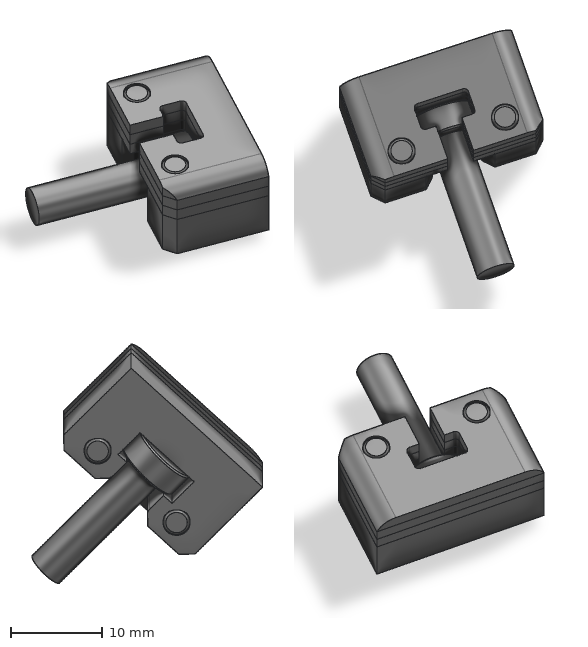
import cadquery as cq
import math

width = 20.0
depth = 12.0
base_height = 5.25
plate_height = 1.46
plate_count = 2
corner_chamfer = 1.25
cover_base = base_height + plate_count * plate_height
block_top = cover_base + plate_height
crown_radius = 2.5

neck_width = 3.0
tee_width = 6.26
tee_corner_radius = 0.5
tee_back = 4.97
tee_front = 8.05

total_length = 24.0
head_radius = 3.86
head_chamfer = 0.2
head_back = 5.0
head_thickness = 3.0
shaft_radius = 2.14
stud_height = 2.62

slot_width = 5.6
mouth_chamfer = 1.2
mouth_fillet = 0.82
pocket_clearance = 0.25

dowel_radius = 1.5
dowel_chamfer = 0.3
dowel_spacing = 12.0
dowel_setback = 9.5
dowel_places = [(side * dowel_spacing / 2, -dowel_setback) for side in (-1, 1)]


def slab(height):
    """Block with its back face at Y = 0, chamfered front corners and dowel holes."""
    body = cq.Workplane("XY").box(width, depth, height, centered=(True, False, False))
    body = body.translate((0, -depth, 0)).faces("<Y").edges("|Z").chamfer(corner_chamfer)
    holes = cq.Workplane("XY").pushPoints(dowel_places).circle(dowel_radius).extrude(height)
    return body.cut(holes)


def upright_cut(cut_width, back, front, height):
    """Rectangular cutter, centred in X, between two distances from the back face."""
    cutter = cq.Workplane("XY").box(cut_width, front - back, height, centered=(True, False, False))
    return cutter.translate((0, -front, 0))


def make_plate():
    tee = upright_cut(tee_width, tee_back, tee_front, plate_height).edges("|Z").fillet(tee_corner_radius)
    neck = upright_cut(neck_width, (tee_back + tee_front) / 2, depth, plate_height)
    return slab(plate_height).cut(tee).cut(neck)


def make_cover():
    """A plate whose side edges are rounded by arcs that run tangent into the top."""
    half_width = width / 2
    crown_run = math.sqrt(crown_radius**2 - (crown_radius - plate_height) ** 2)
    arc_start = half_width - crown_run
    mid_angle = math.asin(crown_run / crown_radius) / 2
    mid_x = arc_start + crown_radius * math.sin(mid_angle)
    mid_z = plate_height - crown_radius * (1 - math.cos(mid_angle))
    envelope = (
        cq.Workplane("XZ")
        .moveTo(-half_width, 0)
        .lineTo(half_width, 0)
        .threePointArc((mid_x, mid_z), (arc_start, plate_height))
        .lineTo(-arc_start, plate_height)
        .threePointArc((-mid_x, mid_z), (-half_width, 0))
        .close()
        .extrude(depth)
    )
    return make_plate().intersect(envelope)


def make_base():
    half_slot = slot_width / 2
    half_mouth = half_slot + mouth_chamfer
    throat_y = mouth_chamfer - depth
    slot = (
        cq.Workplane("XY")
        .polyline([
            (-half_slot, -head_back),
            (half_slot, -head_back),
            (half_slot, throat_y),
            (half_mouth, -depth),
            (-half_mouth, -depth),
            (-half_slot, throat_y),
        ])
        .close()
        .extrude(base_height)
    )
    mouth_mid_y = throat_y - mouth_chamfer / 2
    throat_zone = cq.selectors.BoxSelector(
        (-half_mouth, mouth_mid_y, 0),
        (half_mouth, -tee_front, base_height),
    )
    slot = slot.edges("|Z").edges(throat_zone).fillet(mouth_fillet)
    pocket = upright_cut(
        2 * (head_radius + pocket_clearance),
        head_back - pocket_clearance,
        head_back + head_thickness + pocket_clearance,
        base_height,
    )
    return slab(base_height).cut(slot).cut(pocket)


def make_stud():
    head = cq.Workplane("XZ").circle(head_radius).extrude(head_thickness).edges().chamfer(head_chamfer)
    shaft = cq.Workplane("XZ").circle(shaft_radius).extrude(total_length - head_back)
    return head.union(shaft).translate((0, -head_back, stud_height))


def make_dowel(place):
    dowel = cq.Workplane("XY").circle(dowel_radius).extrude(block_top).edges().chamfer(dowel_chamfer)
    return dowel.translate((*place, 0))


base = make_base()
plates = [make_plate().translate((0, 0, base_height + i * plate_height)) for i in range(plate_count)]
cover = make_cover().translate((0, 0, cover_base))
stud = make_stud()
dowels = [make_dowel(place) for place in dowel_places]

bodies = [base, *plates, cover, stud, *dowels]
result = cq.Compound.makeCompound([body.solids().val() for body in bodies])